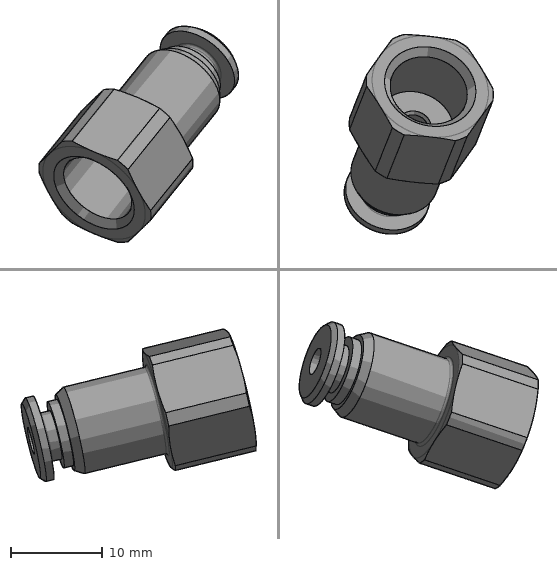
import cadquery as cq
import math

total_length = 23.8
y_start = -total_length / 2
y_end = total_length / 2

hex_flats = 13.0
hex_corner_diameter = 14.2
hex_length = 9.5
hex_chamfer_length = 0.2

body_diameter = 9.75
body_chamfer_radial = 0.6
body_chamfer_length = 1.0
body_fillet = 0.29

collar_diameter = 7.5
collar_length = 1.05
neck_diameter = 5.47
neck_length = 1.4
neck_fillet = 0.29
button_diameter = 9.45
button_length = 1.4
button_chamfer = 0.52

port_diameter = 8.62
port_mouth_diameter = 10.2
port_depth = 8.1
passage_diameter = 3.0
passage_mouth_diameter = 3.62

hex_end = y_start + hex_length
button_start = y_end - button_length
neck_start = button_start - neck_length
body_end = neck_start - collar_length
port_floor = y_start + port_depth


def revolve_about_y(points):
    """Solid of revolution from (radius, y) points."""
    return cq.Workplane("XY").polyline(points).close().revolve(360, (0, 0, 0), (0, 1, 0))


def make_hex():
    """Hexagon with flats facing +Z and -Z, corners turned round and ends chamfered."""
    corner_to_corner = hex_flats / math.cos(math.pi / 6)
    prism = (
        cq.Workplane("XZ", origin=(0, y_start, 0))
        .polygon(6, corner_to_corner)
        .extrude(-hex_length)
    )
    face_radius = hex_flats / 2
    corner_radius = hex_corner_diameter / 2
    envelope = revolve_about_y([
        (0, y_start),
        (face_radius, y_start),
        (corner_radius, y_start + hex_chamfer_length),
        (corner_radius, hex_end - hex_chamfer_length),
        (face_radius, hex_end),
        (0, hex_end),
    ])
    return prism.intersect(envelope)


def make_turned_body():
    """Stepped body, collar, neck and release button, with fillets at the nut and the button."""
    body_radius = body_diameter / 2
    collar_radius = collar_diameter / 2
    neck_radius = neck_diameter / 2
    button_radius = button_diameter / 2
    return (
        cq.Workplane("XY")
        .moveTo(0, port_floor)
        .lineTo(body_radius + body_fillet, port_floor)
        .lineTo(body_radius + body_fillet, hex_end)
        .radiusArc((body_radius, hex_end + body_fillet), body_fillet)
        .lineTo(body_radius, body_end - body_chamfer_length)
        .lineTo(body_radius - body_chamfer_radial, body_end)
        .lineTo(collar_radius, body_end)
        .lineTo(collar_radius, neck_start)
        .lineTo(neck_radius, neck_start)
        .lineTo(neck_radius, button_start - neck_fillet)
        .radiusArc((neck_radius + neck_fillet, button_start), neck_fillet)
        .lineTo(button_radius, button_start)
        .lineTo(button_radius, y_end - button_chamfer)
        .lineTo(button_radius - button_chamfer, y_end)
        .lineTo(0, y_end)
        .close()
        .revolve(360, (0, 0, 0), (0, 1, 0))
    )


def make_bore():
    """Port with a 45 degree mouth, then a through passage with a chamfered mouth."""
    port_radius = port_diameter / 2
    port_mouth_radius = port_mouth_diameter / 2
    passage_radius = passage_diameter / 2
    passage_mouth_radius = passage_mouth_diameter / 2
    return revolve_about_y([
        (0, y_start),
        (port_mouth_radius, y_start),
        (port_radius, y_start + port_mouth_radius - port_radius),
        (port_radius, port_floor),
        (passage_mouth_radius, port_floor),
        (passage_radius, port_floor + passage_mouth_radius - passage_radius),
        (passage_radius, y_end),
        (0, y_end),
    ])


result = make_hex().union(make_turned_body()).cut(make_bore())